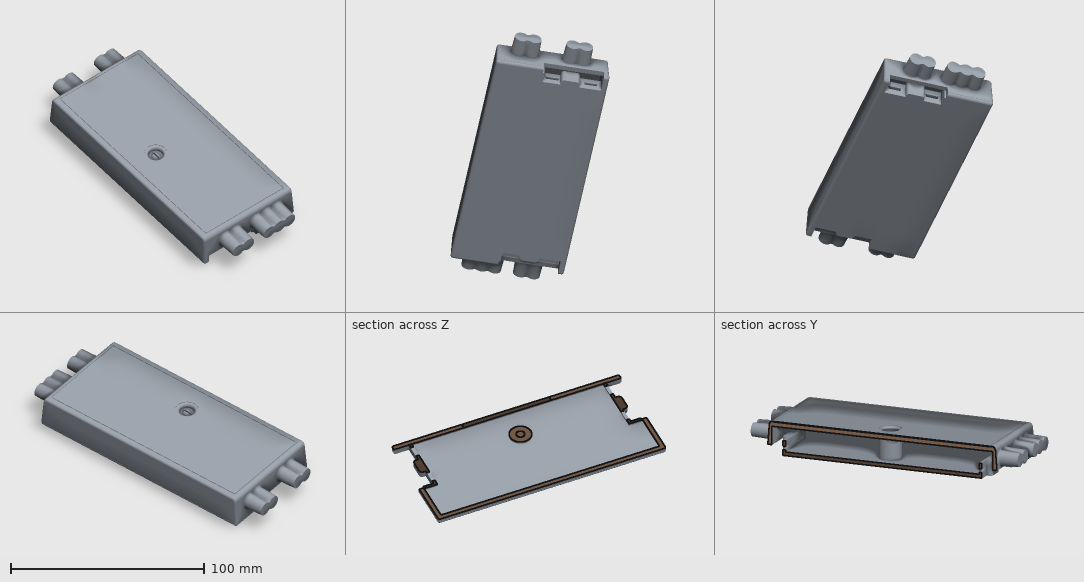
import cadquery as cq
import math

HEIGHT = 18.0
LENGTH = 129.9
OVERALL_DEPTH = 59.7
END_DRAFT = 4.5
SIDE_DRAFT = 2.5
CORNER_RADIUS = 1.2
BOTTOM_RADIUS = 1.5
END_TOP_RADIUS = 2.2
SIDE_TOP_RADIUS = 1.2
WALL = 3.0
OVERALL_LENGTH = 150.0

RECESS_LENGTH = 122.1
RECESS_DEPTH = 51.9
LABEL_LENGTH = 120.6
LABEL_DEPTH = 51.0
LABEL_THICKNESS = 0.3
LABEL_HOLE_DIAMETER = 12.0

SCREW_Y = -10.6
HEAD_DIAMETER = 8.0
RIM_DIAMETER = 10.8
HEAD_TOP_BELOW_RECESS = 2.1
HEAD_THICKNESS = 1.5
CONE_BASE_DIAMETER = 5.0
CONE_TOP_DIAMETER = 3.0
CONE_HEIGHT = 0.9
SLOT_LENGTH = 6.2
SLOT_WIDTH = 0.9
SLOT_BELOW_HEAD = 0.3
SHANK_DIAMETER = 4.0
BOSS_DIAMETER = 12.0

STUB_Z = 10.5
LOBE_DIAMETER = 7.4
LOBE_PITCH = 6.8
VALLEY_RADIUS = 1.5
STUB_DRAFT = 2.0
STUB_ROOT_RADIUS = 0.9
REAR_STUB_Y = 15.0
FRONT_STUB_Y = -12.2

OPENING_HEIGHT = 5.1
OPENING_REAR_Y = 4.8
POCKET_REAR_Y = 3.9
POCKET_SETBACK = 8.8
POCKET_WALL = 1.8
RIB_Y = -10.5
RIB_WIDTH = 9.9
RIB_LENGTH = 3.0
RIB_RADIUS = 1.8
WINDOW_CENTER_Y = -11.2
WINDOW_INNER = 6.6
WINDOW_OUTER = 13.8
WINDOW_SILL = 3.3
WINDOW_SLANT = 0.5

FLOOR = 2.2
TAB_FOOT_WIDTH = 49.2
TAB_FOOT_HEIGHT = 4.5
TAB_WIDTH = 43.8
TAB_HEIGHT = 8.2

DEPTH = OVERALL_DEPTH + 2 * BOTTOM_RADIUS * math.tan(math.radians(SIDE_DRAFT))
LOBE_RADIUS = LOBE_DIAMETER / 2
STUB_ROOT_X = LENGTH / 2 - WALL
TRIPLE_STUB_Y = REAR_STUB_Y - LOBE_PITCH / 2
CAVITY_LENGTH = 2 * STUB_ROOT_X
CAVITY_FRONT_Y = WALL - OVERALL_DEPTH / 2
CAVITY_DEPTH = OVERALL_DEPTH - 2 * WALL
RECESS_Z = HEIGHT - LABEL_THICKNESS
HEAD_TOP_Z = RECESS_Z - HEAD_TOP_BELOW_RECESS
HEAD_BOTTOM_Z = HEAD_TOP_Z - HEAD_THICKNESS
POCKET_X = LENGTH / 2 - POCKET_SETBACK


def block(x0, x1, y0, y1, z0, z1):
    """Box between two opposite corners."""
    return cq.Workplane("XY").box(x1 - x0, y1 - y0, z1 - z0, centered=False).translate((x0, y0, z0))


def centered_block(length, depth, z0, z1):
    """Box centred on the Z axis."""
    return block(-length / 2, length / 2, -depth / 2, depth / 2, z0, z1)


def screw_cylinder(diameter, z0, z1):
    """Cylinder on the screw axis."""
    return cq.Workplane("XY", origin=(0, SCREW_Y, z0)).circle(diameter / 2).extrude(z1 - z0)


def drafted_prism(plane, width, draft, top_radius, span):
    """Long prism whose section narrows upward by the draft and is rounded along its edges."""
    top_width = width - 2 * HEIGHT * math.tan(math.radians(draft))
    corners = [(-width / 2, 0), (width / 2, 0), (top_width / 2, HEIGHT), (-top_width / 2, HEIGHT)]
    prism = cq.Workplane(plane).polyline(corners).close().extrude(span, both=True)
    along = "|Y" if plane == "XZ" else "|X"
    prism = prism.edges(along).edges(">Z").fillet(top_radius)
    return prism.edges(along).edges("<Z").fillet(BOTTOM_RADIUS)


def outer_block():
    """Drafted, rounded outer shape of the closed box."""
    across_x = drafted_prism("XZ", LENGTH, END_DRAFT, END_TOP_RADIUS, DEPTH)
    across_y = drafted_prism("YZ", DEPTH, SIDE_DRAFT, SIDE_TOP_RADIUS, LENGTH)
    body = across_x.intersect(across_y)
    upright_edges = body.edges().filter(lambda edge: edge.BoundingBox().zlen > HEIGHT / 2)
    return upright_edges.fillet(CORNER_RADIUS)


def tab_prism():
    """Stepped region of the front wall that belongs to the base."""
    front_y = -DEPTH
    foot = block(-TAB_FOOT_WIDTH / 2, TAB_FOOT_WIDTH / 2, front_y, CAVITY_FRONT_Y, 0, TAB_FOOT_HEIGHT)
    upper = block(-TAB_WIDTH / 2, TAB_WIDTH / 2, front_y, CAVITY_FRONT_Y, 0, TAB_HEIGHT)
    return foot.union(upper)


def stub_outline(lobes):
    """Closed section of a stub: a row of lobes blended by concave valleys."""
    blend = LOBE_RADIUS + VALLEY_RADIUS
    half_pitch = LOBE_PITCH / 2
    valley_center = math.sqrt(blend ** 2 - half_pitch ** 2)
    tangent_y = half_pitch * LOBE_RADIUS / blend
    tangent_z = valley_center * LOBE_RADIUS / blend
    first = -half_pitch * (lobes - 1)
    valley_z = valley_center - VALLEY_RADIUS
    centers = [first + LOBE_PITCH * i for i in range(lobes)]

    outline = cq.Workplane("YZ").moveTo(first + tangent_y, tangent_z)
    for side, lobe_row in ((1, centers), (-1, centers[::-1])):
        for lobe in lobe_row[1:-1]:
            outline = outline.threePointArc(
                (lobe - side * half_pitch, side * valley_z), (lobe - side * tangent_y, side * tangent_z)
            ).threePointArc((lobe, side * LOBE_RADIUS), (lobe + side * tangent_y, side * tangent_z))
        end = lobe_row[-1]
        outline = outline.threePointArc(
            (end - side * half_pitch, side * valley_z), (end - side * tangent_y, side * tangent_z)
        ).threePointArc((end + side * LOBE_RADIUS, 0), (end - side * tangent_y, -side * tangent_z))
    return outline.close()


def cable_stub(side, center_y, lobes):
    """Tapered stub from the inside of an end wall (side -1 or 1) out to its tip."""
    reach = OVERALL_LENGTH / 2 - STUB_ROOT_X
    stub = stub_outline(lobes).extrude(reach, taper=-STUB_DRAFT).translate((-OVERALL_LENGTH / 2, 0, 0))
    if side > 0:
        stub = stub.mirror("YZ")
    return stub.translate((0, center_y, STUB_Z))


def add_stub(body, side, center_y, lobes):
    """Join a stub to the end wall with a rounded root."""
    body = body.union(cable_stub(side, center_y, lobes))
    half_width = LOBE_PITCH * lobes / 2 + LOBE_RADIUS
    root = cq.selectors.BoxSelector(
        (side * STUB_ROOT_X, center_y - half_width, STUB_Z - 2 * LOBE_RADIUS),
        (side * (LENGTH / 2 + WALL), center_y + half_width, STUB_Z + 2 * LOBE_RADIUS),
        boundingbox=True,
    )
    return body.edges(root).fillet(STUB_ROOT_RADIUS)


def end_opening(side):
    """Low opening through one end wall."""
    x0, x1 = sorted((side * STUB_ROOT_X, side * LENGTH))
    return block(x0, x1, CAVITY_FRONT_Y, OPENING_REAR_Y, 0, OPENING_HEIGHT)


def make_housing():
    """Box with its cable stubs, open below, with a label recess and a screw boss on top."""
    body = outer_block()
    body = add_stub(body, -1, REAR_STUB_Y, 2)
    body = add_stub(body, -1, FRONT_STUB_Y, 2)
    body = add_stub(body, 1, TRIPLE_STUB_Y, 3)
    body = add_stub(body, 1, FRONT_STUB_Y, 2)
    cavity = centered_block(CAVITY_LENGTH, CAVITY_DEPTH, 0, HEIGHT - WALL)
    boss = screw_cylinder(BOSS_DIAMETER, FLOOR, HEIGHT - WALL)
    body = body.cut(cavity.cut(boss))
    for side in (-1, 1):
        body = body.cut(end_opening(side))
    body = body.cut(tab_prism())
    body = body.cut(centered_block(RECESS_LENGTH, RECESS_DEPTH, RECESS_Z, HEIGHT))
    body = body.cut(screw_cylinder(SHANK_DIAMETER, 0, HEIGHT))
    body = body.cut(screw_cylinder(HEAD_DIAMETER, HEAD_BOTTOM_Z, HEIGHT))
    rim = cq.selectors.BoxSelector(
        (-HEAD_DIAMETER, SCREW_Y - HEAD_DIAMETER, RECESS_Z - LABEL_THICKNESS),
        (HEAD_DIAMETER, SCREW_Y + HEAD_DIAMETER, RECESS_Z + LABEL_THICKNESS),
        boundingbox=True,
    )
    rim_radius = (RIM_DIAMETER - HEAD_DIAMETER) / 2
    return body.edges(rim).fillet(rim_radius)


def make_label():
    """Thin plate in the top recess, with a clearance hole over the screw."""
    plate = centered_block(LABEL_LENGTH, LABEL_DEPTH, RECESS_Z, HEIGHT)
    return plate.cut(screw_cylinder(LABEL_HOLE_DIAMETER, RECESS_Z, HEIGHT))


def base_end(side):
    """Pocket wall at one end, with two windows and a rounded rib between them."""
    inner_x = POCKET_X - POCKET_WALL
    wall_rear_y = POCKET_REAR_Y + POCKET_WALL
    wall = block(-CAVITY_LENGTH / 2, -inner_x, CAVITY_FRONT_Y, wall_rear_y, 0, TAB_HEIGHT)
    wall = wall.cut(block(-LENGTH, -POCKET_X, CAVITY_FRONT_Y, POCKET_REAR_Y, 0, TAB_HEIGHT))
    rib_front = RIB_Y - RIB_WIDTH / 2
    rib = block(-POCKET_X - RIB_LENGTH, -POCKET_X, rib_front, rib_front + RIB_WIDTH, 0, TAB_HEIGHT)
    wall = wall.union(rib.edges("|Z and <X").fillet(RIB_RADIUS))
    for direction in (-1, 1):
        outline = [
            (WINDOW_CENTER_Y + direction * (WINDOW_INNER + WINDOW_SLANT), WINDOW_SILL),
            (WINDOW_CENTER_Y + direction * (WINDOW_OUTER - WINDOW_SLANT), WINDOW_SILL),
            (WINDOW_CENTER_Y + direction * WINDOW_OUTER, OPENING_HEIGHT),
            (WINDOW_CENTER_Y + direction * WINDOW_INNER, OPENING_HEIGHT),
        ]
        window = cq.Workplane("YZ").polyline(outline).close().extrude(-LENGTH / 2)
        wall = wall.cut(window)
    return wall if side < 0 else wall.mirror("YZ")


def make_base():
    """Floor plate that closes the housing, with its end pockets and front tab."""
    base = centered_block(CAVITY_LENGTH, CAVITY_DEPTH, 0, FLOOR)
    for side in (-1, 1):
        x0, x1 = sorted((side * POCKET_X, side * LENGTH))
        base = base.cut(block(x0, x1, CAVITY_FRONT_Y, POCKET_REAR_Y, 0, FLOOR))
        base = base.union(base_end(side))
    base = base.union(outer_block().intersect(tab_prism()))
    return base.cut(screw_cylinder(SHANK_DIAMETER, 0, FLOOR))


def make_screw():
    """Slotted screw with a flat head, a raised cone and a shank down to the base."""
    shank = screw_cylinder(SHANK_DIAMETER, 0, HEAD_BOTTOM_Z)
    head = screw_cylinder(HEAD_DIAMETER, HEAD_BOTTOM_Z, HEAD_TOP_Z)
    cone = (
        cq.Workplane("XY", origin=(0, SCREW_Y, HEAD_TOP_Z)).circle(CONE_BASE_DIAMETER / 2)
        .workplane(offset=CONE_HEIGHT).circle(CONE_TOP_DIAMETER / 2)
        .loft(combine=True)
    )
    slot = centered_block(SLOT_LENGTH, SLOT_WIDTH, HEAD_TOP_Z - SLOT_BELOW_HEAD, HEIGHT)
    return shank.union(head).union(cone).cut(slot.translate((0, SCREW_Y, 0)))


housing = make_housing()
label = make_label()
base = make_base()
screw = make_screw()

bodies = [housing, label, base, screw]
result = cq.Compound.makeCompound([body.solids().val() for body in bodies])